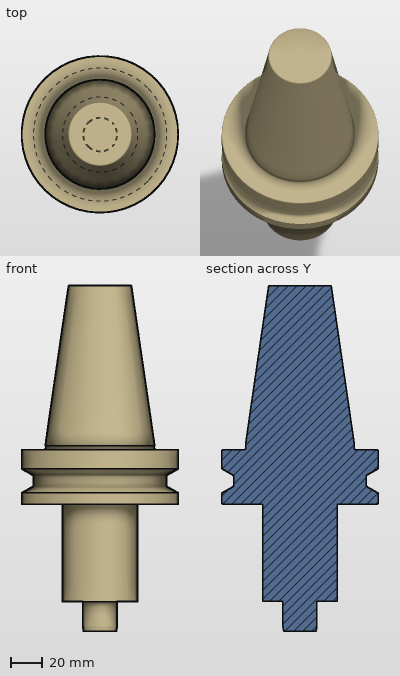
import cadquery as cq
import math


gauge_diameter = 69.85
taper_length = 101.8
taper_ratio = 7 / 24
taper_tip_round = 1.0

collar_length = 3.0
collar_land_length = 0.7
neck_diameter = 69.5
neck_root_radius = 0.8

flange_diameter = 100.0
flange_bottom = -38.0
flange_edge_round = 0.75
groove_diameter = 85.0
groove_center = -23.0
groove_floor_width = 6.9
groove_flank_height = 4.2
groove_corner_radius = 1.0

body_diameter = 48.0
body_bottom = -100.0
pilot_diameter = 22.0
pilot_length = 19.0
pilot_chamfer_length = 3.0
pilot_chamfer_depth = 0.5


def disc(diameter, bottom, top):
    """Cylinder on the Z axis between two heights."""
    return cq.Workplane("XY").workplane(offset=bottom).circle(diameter / 2).extrude(top - bottom)


def revolve_about_z(outline):
    """Solid of revolution about Z from a closed (radius, height) outline."""
    return outline.revolve(360, (0, 0, 0), (0, 1, 0))


def revolve_polygon(points):
    """Solid of revolution about Z from straight-sided (radius, height) points."""
    return revolve_about_z(cq.Workplane("XZ").polyline(points).close())


def make_taper():
    base_radius = gauge_diameter / 2
    tip_radius = base_radius - taper_length * taper_ratio / 2
    cone = revolve_polygon([(0, 0), (base_radius, 0), (tip_radius, taper_length), (0, taper_length)])
    return cone.faces(">Z").edges().fillet(taper_tip_round)


def make_collar():
    """Short land at the gauge diameter above a neck that flares into the flange face."""
    flange_top = -collar_length
    neck_radius = neck_diameter / 2
    root_radius = neck_root_radius
    mid_arc = root_radius * (1 - math.sqrt(0.5))
    outline = (
        cq.Workplane("XZ")
        .moveTo(0, flange_top)
        .lineTo(neck_radius + root_radius, flange_top)
        .threePointArc(
            (neck_radius + mid_arc, flange_top + mid_arc),
            (neck_radius, flange_top + root_radius),
        )
        .lineTo(neck_radius, -collar_land_length)
        .lineTo(0, -collar_land_length)
        .close()
    )
    neck = revolve_about_z(outline)
    return neck.union(disc(gauge_diameter, -collar_land_length, 0))


def make_flange():
    flange = disc(flange_diameter, flange_bottom, -collar_length)
    flange = flange.faces("<Z or >Z").edges().fillet(flange_edge_round)
    return flange.cut(make_groove())


def make_groove():
    """Ring removed from the flange: flat floor, sloping flanks and rounded floor corners."""
    floor_radius = groove_diameter / 2
    rim_radius = flange_diameter / 2
    floor_half = groove_floor_width / 2
    rim_half = floor_half + groove_flank_height
    ring = revolve_polygon([
        (floor_radius, groove_center - floor_half),
        (rim_radius, groove_center - rim_half),
        (rim_radius, groove_center + rim_half),
        (floor_radius, groove_center + floor_half),
    ])
    floor_edges = cq.selectors.RadiusNthSelector(0)
    return ring.edges(floor_edges).fillet(groove_corner_radius)


def make_body():
    return disc(body_diameter, body_bottom, flange_bottom)


def make_pilot():
    pilot = disc(pilot_diameter, body_bottom - pilot_length, body_bottom)
    return pilot.faces("<Z").edges().chamfer(pilot_chamfer_length, pilot_chamfer_depth)


result = make_taper().union(make_collar()).union(make_flange()).union(make_body()).union(make_pilot())